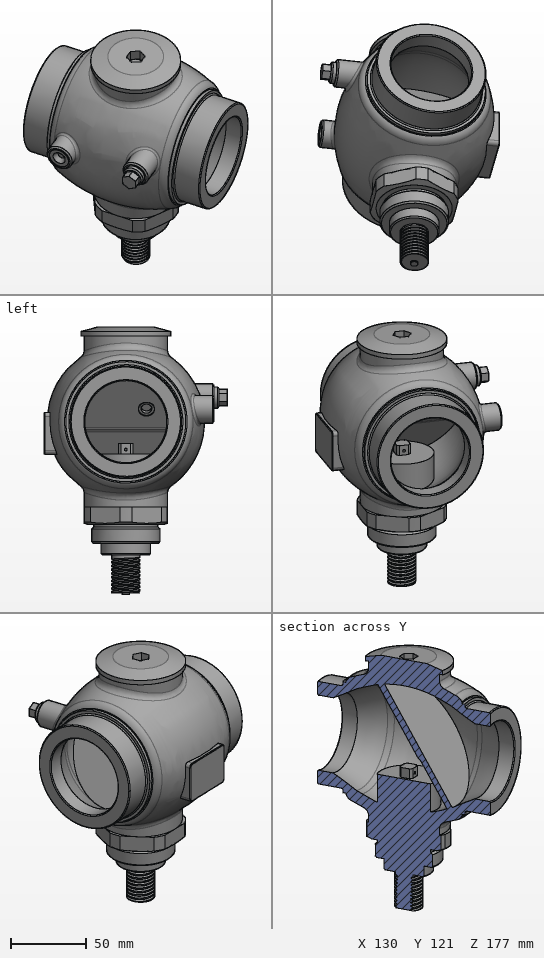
import cadquery as cq
import math


PORT_END_X = 65.0
PORT_RADIUS = 36.8
PORT_EDGE = 0.7
PORT_ROOT = 0.9
SHOULDER_RADIUS = 39.6
SHOULDER_OUTER_X = 45.8
BULGE_END_X = 43.5
BULGE_END_RADIUS = 40.5
CORNER_MID = (41.6, 43.0)
BARREL_END_X = 38.5
BARREL_END_RADIUS = 44.5
BARREL_RADIUS = 52.0

BORE_RADIUS = 27.0
BORE_MOUTH_RADIUS = 27.8
BORE_END_X = 53.1
CAVITY_SHOULDER_X = 35.4
CAVITY_SHOULDER_RADIUS = 36.3
CAVITY_BAND_WIDTH = 4.2
CAVITY_BAND_RADIUS = 37.9
CAVITY_RADIUS = 44.2

NECK_RADIUS = 27.6
NECK_FILLET = 5.0
CAP_RADIUS = 29.7
CAP_FACE_RADIUS = 18.4
CAP_BOTTOM_Z = 56.5
CAP_RIM_Z = 59.6
CAP_TOP_Z = 62.7
CAP_HEX_FLATS = 10.6
CAP_HEX_DEPTH = 7.0
CAP_HEX_CONE_HEIGHT = 3.0

NUT_TOP_Z = -56.3
NUT_BOTTOM_Z = -68.0
NUT_FLATS = 55.0
NUT_CORNER_RADIUS = 29.7
NUT_FACE_RADIUS = 25.1
NUT_CHAMFER_HEIGHT = 1.6
GLAND_GROOVE_RADIUS = 21.2
GLAND_GROOVE_END_Z = -69.5
GLAND_TOP_Z = -71.0
GLAND_RADIUS = 22.7
GLAND_BOTTOM_Z = -80.4
GLAND_CHAMFER = 1.0
COLLAR_RADIUS = 16.5
COLLAR_BOTTOM_Z = -88.0
COLLAR_CHAMFER = 0.9
THREAD_RADIUS = 9.4
THREAD_DEPTH = 1.0
THREAD_PITCH = 2.5
THREAD_CREST = 0.9
THREAD_END_Z = -113.3
STEM_TIP_RADIUS = 2.5
STEM_TIP_Z = -114.3

BOSS_OFFSET_X = 28.0
PLUG_BOSS_Z = 8.1
BOLT_BOSS_Z = 16.0
BOSS_RADIUS = 9.2
BOSS_END_Y = -58.2
BOSS_CHAMFER = 1.0
BOSS_FILLET = 2.0
PLUG_SEAT_RADIUS = 7.0
PLUG_SEAT_DEPTH = 0.4
PLUG_HOLE_RADIUS = 4.5
PLUG_FLOOR_RADIUS = 2.5
PLUG_HOLE_DEPTH = 3.5
BOLT_COLLAR_RADIUS = 7.0
BOLT_COLLAR_HEIGHT = 3.4
BOLT_COLLAR_CHAMFER = 1.0
BOLT_HEX_FLATS = 9.5
BOLT_END_Y = -67.0

PAD_END_Y = 54.0
PAD_WIDTH = 39.3
PAD_TOP_Z = 6.2
PAD_BOTTOM_Z = -21.8
PAD_CORNER = 2.7
PAD_EDGE = 0.5

FLAP_TILT = 33.0
FLAP_PIVOT_X = 7.0
FLAP_THICKNESS = 5.3
FLAP_STEP = 0.9
FLAP_STEP_TOP_Z = -3.7
FLAP_STEP_MIDDLE_Z = -5.1
FLAP_STEP_BOTTOM_Z = -6.9
FLAP_HOLE_Y = -13.6
FLAP_HOLE_Z = 8.1
FLAP_HOLE_RADIUS = 3.5
FLAP_HOLE_DEPTH = 3.5
FLAP_HOLE_SPOT_RADIUS = 5.3
FLAP_HOLE_SPOT_DEPTH = 0.9

INSERT_RADIUS = 21.2
INSERT_TOP_Z = -21.5
KEY_WIDTH = 9.5
KEY_HEIGHT = 6.9
KEY_CHAMFER = 1.6
PIN_HOLE_HEIGHT = 3.0
PIN_HOLE_RADIUS = 0.9

PLANE_X = ((0, 0, 0), (1, 0, 0))
PLANE_Y = ((0, 0, 0), (0, 1, 0))


def hex_diameter(flats):
    """Corner-to-corner size of a hexagon given its size across flats."""
    return flats / math.cos(math.pi / 6)


def facing_front(x, y, z):
    """Workplane at a point, with its normal along -Y."""
    return cq.Workplane(cq.Plane(origin=(x, y, z), xDir=(1, 0, 0), normal=(0, -1, 0)))


def make_barrel():
    """Bulged body with a turned port at each end."""
    mid_x, mid_radius = CORNER_MID
    profile = (
        cq.Workplane("XY")
        .moveTo(-PORT_END_X, 0)
        .lineTo(-PORT_END_X, PORT_RADIUS - PORT_EDGE)
        .lineTo(-PORT_END_X + PORT_EDGE, PORT_RADIUS)
        .lineTo(-SHOULDER_OUTER_X - PORT_ROOT, PORT_RADIUS)
        .lineTo(-SHOULDER_OUTER_X, PORT_RADIUS + PORT_ROOT)
        .lineTo(-SHOULDER_OUTER_X, SHOULDER_RADIUS)
        .lineTo(-BULGE_END_X, SHOULDER_RADIUS)
        .lineTo(-BULGE_END_X, BULGE_END_RADIUS)
        .threePointArc((-mid_x, mid_radius), (-BARREL_END_X, BARREL_END_RADIUS))
        .threePointArc((0, BARREL_RADIUS), (BARREL_END_X, BARREL_END_RADIUS))
        .threePointArc((mid_x, mid_radius), (BULGE_END_X, BULGE_END_RADIUS))
        .lineTo(BULGE_END_X, SHOULDER_RADIUS)
        .lineTo(SHOULDER_OUTER_X, SHOULDER_RADIUS)
        .lineTo(SHOULDER_OUTER_X, PORT_RADIUS + PORT_ROOT)
        .lineTo(SHOULDER_OUTER_X + PORT_ROOT, PORT_RADIUS)
        .lineTo(PORT_END_X - PORT_EDGE, PORT_RADIUS)
        .lineTo(PORT_END_X, PORT_RADIUS - PORT_EDGE)
        .lineTo(PORT_END_X, 0)
        .close()
    )
    return profile.revolve(360, *PLANE_X)


def make_cavity():
    """Flow passage: two straight bores that flare into a bulged chamber."""
    mouth_edge = BORE_MOUTH_RADIUS - BORE_RADIUS
    band_x = CAVITY_SHOULDER_X - CAVITY_BAND_WIDTH
    profile = (
        cq.Workplane("XY")
        .moveTo(-PORT_END_X, 0)
        .lineTo(-PORT_END_X, BORE_MOUTH_RADIUS)
        .lineTo(-PORT_END_X + mouth_edge, BORE_RADIUS)
        .lineTo(-BORE_END_X, BORE_RADIUS)
        .lineTo(-CAVITY_SHOULDER_X, CAVITY_SHOULDER_RADIUS)
        .lineTo(-band_x, CAVITY_BAND_RADIUS)
        .threePointArc((0, CAVITY_RADIUS), (band_x, CAVITY_BAND_RADIUS))
        .lineTo(CAVITY_SHOULDER_X, CAVITY_SHOULDER_RADIUS)
        .lineTo(BORE_END_X, BORE_RADIUS)
        .lineTo(PORT_END_X - mouth_edge, BORE_RADIUS)
        .lineTo(PORT_END_X, BORE_MOUTH_RADIUS)
        .lineTo(PORT_END_X, 0)
        .close()
    )
    return profile.revolve(360, *PLANE_X)


def join_and_fillet(body, branch, fillet, region):
    """Add a branch to the body and round the seam found inside a box region."""
    joined = body.union(branch)
    return joined.edges(cq.selectors.BoxSelector(*region)).fillet(fillet)


def make_neck(end_z):
    return cq.Workplane("XY").circle(NECK_RADIUS).extrude(end_z)


def make_boss(x, z):
    boss = facing_front(x, 0, z).circle(BOSS_RADIUS).extrude(-BOSS_END_Y)
    return boss.faces("<Y").chamfer(BOSS_CHAMFER)


def add_branches(body):
    """Add the two necks and the two front bosses, each with a rounded root."""
    half = NECK_RADIUS + NECK_FILLET
    for end_z in (CAP_BOTTOM_Z, NUT_TOP_Z):
        inner = math.copysign(BARREL_RADIUS / 2, end_z)
        outer = math.copysign(BARREL_RADIUS, end_z)
        region = ((-half, -half, inner), (half, half, outer))
        body = join_and_fillet(body, make_neck(end_z), NECK_FILLET, region)
    half = BOSS_RADIUS + BOSS_FILLET
    for x, z in ((-BOSS_OFFSET_X, PLUG_BOSS_Z), (BOSS_OFFSET_X, BOLT_BOSS_Z)):
        region = ((x - half, -BARREL_RADIUS, z - half), (x + half, -BARREL_RADIUS / 2, z + half))
        body = join_and_fillet(body, make_boss(x, z), BOSS_FILLET, region)
    return body


def make_cap():
    """Screwed cap with a conical top."""
    profile = (
        cq.Workplane("XZ")
        .moveTo(0, CAP_BOTTOM_Z)
        .lineTo(CAP_RADIUS, CAP_BOTTOM_Z)
        .lineTo(CAP_RADIUS, CAP_RIM_Z)
        .lineTo(CAP_FACE_RADIUS, CAP_TOP_Z)
        .lineTo(0, CAP_TOP_Z)
        .close()
    )
    return profile.revolve(360, *PLANE_Y)


def make_cap_socket():
    """Hexagon socket with a drill-point floor, corners along Y."""
    floor_z = CAP_TOP_Z - CAP_HEX_DEPTH
    socket = (
        cq.Workplane("XY", origin=(0, 0, floor_z))
        .transformed(rotate=(0, 0, 90))
        .polygon(6, hex_diameter(CAP_HEX_FLATS))
        .extrude(CAP_HEX_DEPTH)
    )
    point = cq.Solid.makeCone(
        CAP_HEX_FLATS / 2, 0, CAP_HEX_CONE_HEIGHT, cq.Vector(0, 0, floor_z), cq.Vector(0, 0, -1)
    )
    return socket.union(cq.Workplane(point))


def make_nut():
    """Hexagon nut, flats facing +-Y, turned at the corners and chamfered below."""
    height = NUT_TOP_Z - NUT_BOTTOM_Z
    base = cq.Workplane("XY", origin=(0, 0, NUT_BOTTOM_Z))
    hexagon = base.polygon(6, hex_diameter(NUT_FLATS)).extrude(height)
    turned = base.circle(NUT_CORNER_RADIUS).extrude(height)
    turned = turned.faces("<Z").chamfer(NUT_CHAMFER_HEIGHT, NUT_CORNER_RADIUS - NUT_FACE_RADIUS)
    return hexagon.intersect(turned)


def make_gland():
    """Turned parts below the nut, down to the tip of the stem."""
    profile = (
        cq.Workplane("XZ")
        .moveTo(0, NUT_TOP_Z)
        .lineTo(GLAND_GROOVE_RADIUS, NUT_TOP_Z)
        .lineTo(GLAND_GROOVE_RADIUS, GLAND_GROOVE_END_Z)
        .lineTo(GLAND_RADIUS, GLAND_TOP_Z)
        .lineTo(GLAND_RADIUS, GLAND_BOTTOM_Z + GLAND_CHAMFER)
        .lineTo(GLAND_RADIUS - GLAND_CHAMFER, GLAND_BOTTOM_Z)
        .lineTo(COLLAR_RADIUS, GLAND_BOTTOM_Z)
        .lineTo(COLLAR_RADIUS, COLLAR_BOTTOM_Z + COLLAR_CHAMFER)
        .lineTo(COLLAR_RADIUS - COLLAR_CHAMFER, COLLAR_BOTTOM_Z)
        .lineTo(THREAD_RADIUS, COLLAR_BOTTOM_Z)
        .lineTo(THREAD_RADIUS, THREAD_END_Z)
        .lineTo(STEM_TIP_RADIUS, THREAD_END_Z)
        .lineTo(STEM_TIP_RADIUS, STEM_TIP_Z)
        .lineTo(0, STEM_TIP_Z)
        .close()
    )
    return profile.revolve(360, *PLANE_Y)


def make_thread_groove():
    """Helical V-groove that leaves the stem thread; it runs out past the stem end."""
    overshoot = 0.5
    half_mouth = (THREAD_PITCH - THREAD_CREST) / 2
    half_outer = half_mouth * (1 + overshoot / THREAD_DEPTH)
    outer = THREAD_RADIUS + overshoot
    root = THREAD_RADIUS - THREAD_DEPTH
    start_z = THREAD_END_Z - THREAD_PITCH / 2
    length = COLLAR_BOTTOM_Z - start_z - THREAD_PITCH / 2
    path = cq.Wire.makeHelix(THREAD_PITCH, length, root, cq.Vector(0, 0, start_z))
    groove = (
        cq.Workplane("XZ", origin=(0, 0, start_z))
        .moveTo(root, 0)
        .lineTo(outer, -half_outer)
        .lineTo(outer, half_outer)
        .close()
    )
    return groove.sweep(cq.Workplane(path), isFrenet=True)


def make_plug_recess():
    """Shallow round seat and a conical hole in the left boss."""
    seat = facing_front(-BOSS_OFFSET_X, BOSS_END_Y, PLUG_BOSS_Z)
    seat = seat.circle(PLUG_SEAT_RADIUS).extrude(-PLUG_SEAT_DEPTH)
    mouth = cq.Vector(-BOSS_OFFSET_X, BOSS_END_Y + PLUG_SEAT_DEPTH, PLUG_BOSS_Z)
    hole = cq.Solid.makeCone(
        PLUG_HOLE_RADIUS, PLUG_FLOOR_RADIUS, PLUG_HOLE_DEPTH, mouth, cq.Vector(0, 1, 0)
    )
    return seat.union(cq.Workplane(hole))


def make_bolt():
    """Bleed bolt on the right boss: round collar and hexagon head, corners along Z."""
    collar = facing_front(BOSS_OFFSET_X, BOSS_END_Y, BOLT_BOSS_Z)
    collar = collar.circle(BOLT_COLLAR_RADIUS).extrude(BOLT_COLLAR_HEIGHT)
    collar = collar.faces("<Y").chamfer(BOLT_COLLAR_CHAMFER)
    head = (
        facing_front(BOSS_OFFSET_X, BOSS_END_Y, BOLT_BOSS_Z)
        .transformed(rotate=(0, 0, 90))
        .polygon(6, hex_diameter(BOLT_HEX_FLATS))
        .extrude(BOSS_END_Y - BOLT_END_Y)
    )
    return collar.union(head)


def make_pad():
    """Rounded rectangular name pad on the rear."""
    height = PAD_TOP_Z - PAD_BOTTOM_Z
    middle_z = (PAD_TOP_Z + PAD_BOTTOM_Z) / 2
    pad = (
        facing_front(0, PAD_END_Y, middle_z)
        .rect(PAD_WIDTH, height)
        .extrude(PAD_END_Y - CAVITY_RADIUS)
    )
    return pad.edges("|Y").fillet(PAD_CORNER).faces(">Y").chamfer(PAD_EDGE)


def make_flap(cavity):
    """Stepped, tilted partition that closes the chamber, with a blind hole in its upper part."""
    tilt = math.radians(FLAP_TILT)
    slope = math.tan(tilt)
    reach = CAVITY_RADIUS

    def upper_x(z):
        return FLAP_PIVOT_X - z * slope

    def lower_x(z):
        return upper_x(z) + FLAP_STEP

    flap = (
        cq.Workplane("XZ")
        .moveTo(upper_x(reach), reach)
        .lineTo(upper_x(FLAP_STEP_TOP_Z), FLAP_STEP_TOP_Z)
        .lineTo(lower_x(FLAP_STEP_TOP_Z), FLAP_STEP_MIDDLE_Z)
        .lineTo(lower_x(FLAP_STEP_BOTTOM_Z), FLAP_STEP_BOTTOM_Z)
        .lineTo(lower_x(-reach), -reach)
        .lineTo(lower_x(-reach) + FLAP_THICKNESS, -reach)
        .lineTo(lower_x(reach) + FLAP_THICKNESS, reach)
        .close()
        .extrude(reach, both=True)
    )
    hole_plane = cq.Plane(
        origin=(upper_x(FLAP_HOLE_Z), FLAP_HOLE_Y, FLAP_HOLE_Z),
        xDir=(0, 1, 0),
        normal=(math.cos(tilt), 0, math.sin(tilt)),
    )
    hole = cq.Workplane(hole_plane).circle(FLAP_HOLE_RADIUS).extrude(FLAP_HOLE_DEPTH)
    spot = cq.Workplane(hole_plane).circle(FLAP_HOLE_SPOT_RADIUS).extrude(FLAP_HOLE_SPOT_DEPTH)
    return flap.cut(hole).cut(spot).intersect(cavity)


def make_insert():
    """Round insert rising from the lower neck, with a drilled square key on top."""
    insert = cq.Workplane("XY", origin=(0, 0, NUT_TOP_Z))
    insert = insert.circle(INSERT_RADIUS).extrude(INSERT_TOP_Z - NUT_TOP_Z)
    key = cq.Workplane("XY", origin=(0, 0, INSERT_TOP_Z))
    key = key.rect(KEY_WIDTH, KEY_WIDTH).extrude(KEY_HEIGHT)
    key = key.edges("|Z").chamfer(KEY_CHAMFER)
    pin_hole = (
        cq.Workplane("YZ", origin=(0, 0, INSERT_TOP_Z + PIN_HOLE_HEIGHT))
        .circle(PIN_HOLE_RADIUS)
        .extrude(KEY_WIDTH, both=True)
    )
    return insert.union(key.cut(pin_hole))


cavity = make_cavity()
body = add_branches(make_barrel())
body = body.union(make_pad()).cut(cavity).union(make_flap(cavity)).union(make_insert())
body = body.union(make_cap()).cut(make_cap_socket())
body = body.cut(make_plug_recess()).union(make_bolt())
result = body.union(make_nut()).union(make_gland().cut(make_thread_groove()))